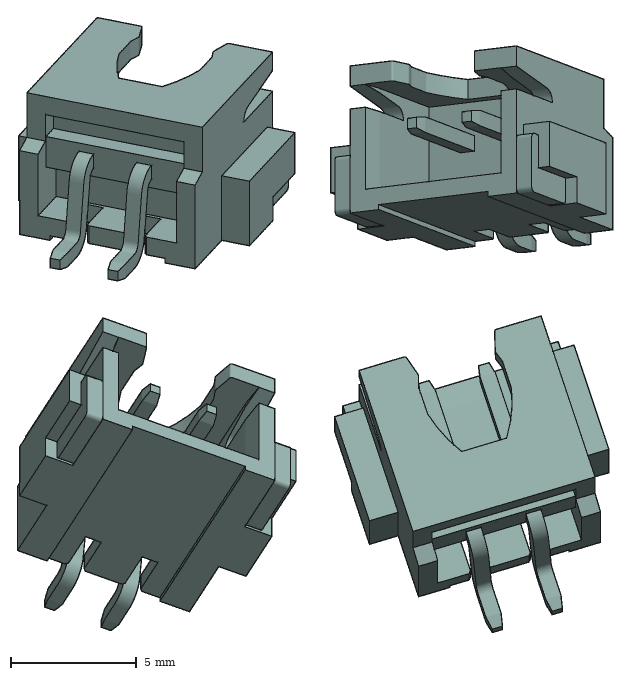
import cadquery as cq
import math


PIN_PITCH = 2.5
PIN_XS = (-PIN_PITCH / 2, PIN_PITCH / 2)
PIN_SIZE = 0.63
PIN_TOP_Z = 3.8
PIN_AXIS_Z = PIN_TOP_Z - PIN_SIZE / 2
PIN_FRONT_DEPTH = 0.5
PIN_END_DEPTH = 10.2
PIN_BEND_DEPTH = 7.05
BEND_INNER_RADIUS = 0.38
BEND_OUTER_RADIUS = BEND_INNER_RADIUS + PIN_SIZE
LEG_ANGLE = math.radians(9.5)
TIP_LENGTH = 0.51
TIP_SIZE = 0.43

HOUSING_WIDTH = 7.6
HOUSING_HALF = HOUSING_WIDTH / 2
HOUSING_HEIGHT = 6.0
ROOF_DEPTH = 7.11
BASE_DEPTH = 7.84
STEP_TOP_Z = 4.0
STEP_BOTTOM_Z = 3.75
RELIEF_WIDTH = 4.98
RELIEF_HEIGHT = 0.2

CAVITY_WIDTH = 6.0
CAVITY_FLOOR_Z = 1.0
CAVITY_ROOF_Z = 5.18
CAVITY_DEPTH = 5
LEAD_IN_DEPTH = 1.0
LEAD_IN_FLARE = 0.1

BAR_FACE_DEPTH = PIN_BEND_DEPTH
BAR_HALF_HEIGHT = 0.68
BAR_TOP_Z = PIN_AXIS_Z + BAR_HALF_HEIGHT
BAR_BOTTOM_Z = PIN_AXIS_Z - BAR_HALF_HEIGHT
UPPER_RECESS_DEPTH = 6.28
LOWER_RECESS_DEPTH = 6.02
BAR_UNDERSIDE_DROP = 0.31
LOWER_RECESS_TOP_Z = BAR_BOTTOM_Z - BAR_UNDERSIDE_DROP

LEG_SLOT_WIDTH = 0.69
LEG_SLOT_FRONT_DEPTH = 6.17
LEG_SLOT_CHAMFER = 0.1

LATCH_SLOT_FLOOR_Z = 4.24
LATCH_SLOT_MOUTH_Z = 5.17
LATCH_SLOT_DEPTH = 2.92
LATCH_SLOT_RADIUS = 0.51

NOTCH_MOUTH_HALF = 1.86
NOTCH_NECK_HALF = 1.6
NOTCH_NECK_DEPTH = 0.91
NOTCH_WIDE_HALF = 1.75
NOTCH_WIDE_START_DEPTH = 1.37
NOTCH_WIDE_END_DEPTH = 2.57
NOTCH_END_HALF = 0.94
NOTCH_END_DEPTH = 4.49
NOTCH_SIDE_RADIUS = 6.02
NOTCH_MOUTH_RADIUS = 0.1
NOTCH_NECK_RADIUS = 0.2

OVERALL_WIDTH = 10
WING_LENGTH = (OVERALL_WIDTH - HOUSING_WIDTH) / 2
WING_HEIGHT = 2.9
WING_FRONT_DEPTH = 0.55
WING_REAR_DEPTH = 5.15
NAIL_LENGTH = 0.69
NAIL_HEIGHT = 2.4
NAIL_FOOT_DEPTH = 2.76
NAIL_FOOT_HEIGHT = 1.06
NAIL_RADIUS = 0.2


def box(x_range, depth_range, z_range):
    """Box between two X values, two depths and two heights."""
    size_x = x_range[1] - x_range[0]
    size_y = depth_range[1] - depth_range[0]
    size_z = z_range[1] - z_range[0]
    corner = (x_range[0], -depth_range[1], z_range[0])
    return cq.Workplane("XY").box(size_x, size_y, size_z, centered=False).translate(corner)


def centred_x(width):
    """X range of a feature centred on the symmetry plane."""
    return (-width / 2, width / 2)


def side_profile(start_x):
    """Sketch plane whose axes are Y and Z and whose extrusions run toward +X."""
    return cq.Workplane("YZ", origin=(start_x, 0, 0))



def make_shell():
    outline = [
        (0, 0),
        (0, HOUSING_HEIGHT),
        (-ROOF_DEPTH, HOUSING_HEIGHT),
        (-ROOF_DEPTH, STEP_TOP_Z),
        (-BASE_DEPTH, STEP_BOTTOM_Z),
        (-BASE_DEPTH, 0),
    ]
    shell = side_profile(-HOUSING_HALF).polyline(outline).close().extrude(HOUSING_WIDTH)
    return shell.cut(box(centred_x(RELIEF_WIDTH), (0, BASE_DEPTH), (0, RELIEF_HEIGHT)))


def make_wing():
    """Wing on the +X side, with room for the nail foot under its front end."""
    wing_x = (HOUSING_HALF, HOUSING_HALF + WING_LENGTH)
    wing = box(wing_x, (WING_FRONT_DEPTH, WING_REAR_DEPTH), (0, WING_HEIGHT))
    return wing.cut(box(wing_x, (WING_FRONT_DEPTH, NAIL_FOOT_DEPTH), (0, NAIL_FOOT_HEIGHT)))


def make_cavity():
    """Mating cavity whose sides and floor widen toward the mouth."""
    cavity_x = centred_x(CAVITY_WIDTH)
    cavity = box(cavity_x, (0, CAVITY_DEPTH), (CAVITY_FLOOR_Z, CAVITY_ROOF_Z))
    throat_height = CAVITY_ROOF_Z - CAVITY_FLOOR_Z
    mouth_width = CAVITY_WIDTH + 2 * LEAD_IN_FLARE
    mouth_height = throat_height + LEAD_IN_FLARE
    lead_in = (
        cq.Workplane("XZ", origin=(0, 0, CAVITY_ROOF_Z))
        .center(0, -mouth_height / 2)
        .rect(mouth_width, mouth_height)
        .workplane(offset=LEAD_IN_DEPTH)
        .center(0, (mouth_height - throat_height) / 2)
        .rect(CAVITY_WIDTH, throat_height)
        .loft(ruled=True)
    )
    return cavity.union(lead_in)


def make_rear_recess():
    """Space behind the rear wall, shaped around the bar that holds the pins."""
    outline = [
        (-BASE_DEPTH, CAVITY_FLOOR_Z),
        (-LOWER_RECESS_DEPTH, CAVITY_FLOOR_Z),
        (-LOWER_RECESS_DEPTH, LOWER_RECESS_TOP_Z),
        (-BAR_FACE_DEPTH, BAR_BOTTOM_Z),
        (-BAR_FACE_DEPTH, BAR_TOP_Z),
        (-UPPER_RECESS_DEPTH, BAR_TOP_Z),
        (-UPPER_RECESS_DEPTH, CAVITY_ROOF_Z),
        (-BASE_DEPTH, CAVITY_ROOF_Z),
    ]
    return side_profile(-CAVITY_WIDTH / 2).polyline(outline).close().extrude(CAVITY_WIDTH)


def make_leg_slot(pin_x):
    """Slot through the rear floor, flared where it opens at the rear."""
    half = LEG_SLOT_WIDTH / 2
    flared_half = half + LEG_SLOT_CHAMFER
    flare_start = BASE_DEPTH - LEG_SLOT_CHAMFER
    outline = [
        (-half, -LEG_SLOT_FRONT_DEPTH),
        (half, -LEG_SLOT_FRONT_DEPTH),
        (half, -flare_start),
        (flared_half, -BASE_DEPTH),
        (-flared_half, -BASE_DEPTH),
        (-half, -flare_start),
    ]
    slot = cq.Workplane("XY").polyline(outline).close().extrude(CAVITY_FLOOR_Z)
    return slot.translate((pin_x, 0, 0))


def make_latch_slot():
    """Side-wall slot with a sloping top that rounds down to its inner end."""
    centre_depth = LATCH_SLOT_DEPTH - LATCH_SLOT_RADIUS
    rise = LATCH_SLOT_MOUTH_Z - LATCH_SLOT_FLOOR_Z
    reach = math.hypot(centre_depth, rise)
    slope = math.atan2(rise, centre_depth) - math.asin(LATCH_SLOT_RADIUS / reach)

    def on_end_arc(angle):
        y = -centre_depth - LATCH_SLOT_RADIUS * math.sin(angle)
        z = LATCH_SLOT_FLOOR_Z + LATCH_SLOT_RADIUS * math.cos(angle)
        return (y, z)

    quarter_turn = math.pi / 2
    return (
        side_profile(-HOUSING_HALF)
        .moveTo(0, LATCH_SLOT_FLOOR_Z)
        .lineTo(0, LATCH_SLOT_MOUTH_Z)
        .lineTo(*on_end_arc(slope))
        .threePointArc(on_end_arc((slope + quarter_turn) / 2), on_end_arc(quarter_turn))
        .close()
        .extrude(HOUSING_WIDTH)
    )


def make_roof_notch():
    """Waisted notch in the roof, open at the mating face."""
    return (
        cq.Workplane("XY", origin=(0, 0, CAVITY_ROOF_Z))
        .moveTo(-NOTCH_MOUTH_HALF, 0)
        .lineTo(-NOTCH_NECK_HALF, -NOTCH_NECK_DEPTH)
        .lineTo(-NOTCH_WIDE_HALF, -NOTCH_WIDE_START_DEPTH)
        .lineTo(-NOTCH_WIDE_HALF, -NOTCH_WIDE_END_DEPTH)
        .radiusArc((-NOTCH_END_HALF, -NOTCH_END_DEPTH), -NOTCH_SIDE_RADIUS)
        .lineTo(NOTCH_END_HALF, -NOTCH_END_DEPTH)
        .radiusArc((NOTCH_WIDE_HALF, -NOTCH_WIDE_END_DEPTH), -NOTCH_SIDE_RADIUS)
        .lineTo(NOTCH_WIDE_HALF, -NOTCH_WIDE_START_DEPTH)
        .lineTo(NOTCH_NECK_HALF, -NOTCH_NECK_DEPTH)
        .lineTo(NOTCH_MOUTH_HALF, 0)
        .close()
        .extrude(HOUSING_HEIGHT - CAVITY_ROOF_Z)
    )


def notch_edges(housing, first_depth, last_depth):
    """Upright edges of the roof notch between two depths."""
    margin = 0.01
    picker = cq.selectors.BoxSelector(
        (-NOTCH_MOUTH_HALF - margin, -last_depth - margin, CAVITY_ROOF_Z),
        (NOTCH_MOUTH_HALF + margin, -first_depth + margin, HOUSING_HEIGHT),
    )
    return housing.edges("|Z").edges(picker)


def round_notch_edges(housing):
    """Round the mouth corners of the roof notch, then both ends of its neck."""
    housing = notch_edges(housing, 0, 0).fillet(NOTCH_MOUTH_RADIUS)
    neck_edges = notch_edges(housing, NOTCH_NECK_DEPTH, NOTCH_WIDE_START_DEPTH)
    return neck_edges.fillet(NOTCH_NECK_RADIUS)


def make_pin_hole(pin_x):
    """Square hole through the rear wall that fits the pin."""
    hole_x = (pin_x - PIN_SIZE / 2, pin_x + PIN_SIZE / 2)
    return box(hole_x, (CAVITY_DEPTH, BAR_FACE_DEPTH), (PIN_TOP_Z - PIN_SIZE, PIN_TOP_Z))


def make_housing():
    wing = make_wing()
    housing = make_shell().union(wing).union(wing.mirror("YZ"))
    housing = housing.cut(make_cavity()).cut(make_rear_recess())
    housing = housing.cut(make_latch_slot()).cut(make_roof_notch())
    housing = round_notch_edges(housing)
    for pin_x in PIN_XS:
        housing = housing.cut(make_leg_slot(pin_x)).cut(make_pin_hole(pin_x))
    return housing



def make_pin_tip(depth, axis_z, direction):
    """Tapered tip that starts at a depth and narrows toward +Y (1) or -Y (-1)."""
    plane = cq.Plane(origin=(0, -depth, axis_z), xDir=(1, 0, 0), normal=(0, direction, 0))
    return (
        cq.Workplane(plane)
        .rect(PIN_SIZE, PIN_SIZE)
        .workplane(offset=TIP_LENGTH)
        .rect(TIP_SIZE, TIP_SIZE)
        .loft(ruled=True)
    )


def make_pin(pin_x):
    """Horizontal contact, leaning leg and flat foot, swept along the centre line."""
    bend_radius = (BEND_INNER_RADIUS + BEND_OUTER_RADIUS) / 2
    foot_z = PIN_SIZE / 2
    cos_leg = math.cos(LEG_ANGLE)
    sin_leg = math.sin(LEG_ANGLE)
    upper_centre = (-PIN_BEND_DEPTH, PIN_AXIS_Z - bend_radius)
    leg_top = (upper_centre[0] - bend_radius * cos_leg, upper_centre[1] + bend_radius * sin_leg)
    lower_centre_z = foot_z + bend_radius
    leg_bottom_z = lower_centre_z - bend_radius * sin_leg
    leg_bottom_y = leg_top[0] - (leg_top[1] - leg_bottom_z) * math.tan(LEG_ANGLE)
    lower_centre = (leg_bottom_y - bend_radius * cos_leg, lower_centre_z)

    half_turn = (math.pi / 2 - LEG_ANGLE) / 2
    mid_y = bend_radius * math.sin(half_turn)
    mid_z = bend_radius * math.cos(half_turn)
    contact_start = PIN_FRONT_DEPTH + TIP_LENGTH
    foot_end = PIN_END_DEPTH - TIP_LENGTH
    centre_line = (
        cq.Workplane("YZ")
        .moveTo(-contact_start, PIN_AXIS_Z)
        .lineTo(-PIN_BEND_DEPTH, PIN_AXIS_Z)
        .threePointArc((upper_centre[0] - mid_y, upper_centre[1] + mid_z), leg_top)
        .lineTo(leg_bottom_y, leg_bottom_z)
        .threePointArc((lower_centre[0] + mid_y, lower_centre[1] - mid_z), (lower_centre[0], foot_z))
        .lineTo(-foot_end, foot_z)
    )
    pin = (
        cq.Workplane("XZ", origin=(0, -contact_start, PIN_AXIS_Z))
        .rect(PIN_SIZE, PIN_SIZE)
        .sweep(centre_line)
    )
    pin = pin.union(make_pin_tip(contact_start, PIN_AXIS_Z, 1))
    pin = pin.union(make_pin_tip(foot_end, foot_z, -1))
    return pin.translate((pin_x, 0, 0))



def make_nail(start_x):
    """L-shaped nail filling the space in front of and under a wing."""
    outline = [
        (0, 0),
        (0, NAIL_HEIGHT),
        (-WING_FRONT_DEPTH, NAIL_HEIGHT),
        (-WING_FRONT_DEPTH, NAIL_FOOT_HEIGHT),
        (-NAIL_FOOT_DEPTH, NAIL_FOOT_HEIGHT),
        (-NAIL_FOOT_DEPTH, 0),
    ]
    nail = side_profile(start_x).polyline(outline).close().extrude(NAIL_LENGTH)
    front_edges = nail.faces(">Y").edges("|X")
    foot_edge = nail.faces("<Y").edges("|X").edges("<Z")
    return nail.newObject(front_edges.vals() + foot_edge.vals()).fillet(NAIL_RADIUS)


housing = make_housing()
pins = [make_pin(pin_x) for pin_x in PIN_XS]
nails = [make_nail(start_x) for start_x in (-HOUSING_HALF - NAIL_LENGTH, HOUSING_HALF)]

result = cq.Compound.makeCompound([housing.val(), *[body.val() for body in pins + nails]])